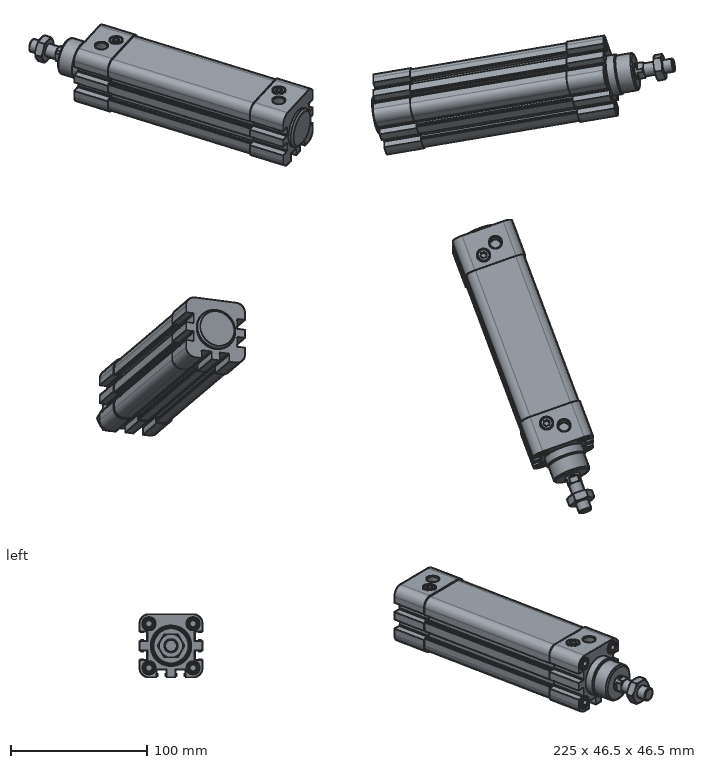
import cadquery as cq

TOTAL_LENGTH = 225.0
NUT_START = 7.5
NUT_THICKNESS = 6.0
THREAD_END = 22.0
FLATS_END = 27.5
COLLAR_START = 28.5
PILOT_START = 40.7
CAP_START = 47.7
CAP_LENGTH = 28.0
REAR_BOSS_LENGTH = 3.4

REAR_CAP_END = TOTAL_LENGTH - REAR_BOSS_LENGTH
REAR_CAP_START = REAR_CAP_END - CAP_LENGTH
BARREL_START = CAP_START + CAP_LENGTH
CAPS_MIDDLE = (CAP_START + REAR_CAP_END) / 2

THREAD_DIAMETER = 10.0
THREAD_CHAMFER = 0.7
ROD_DIAMETER = 12.0
FLATS_WIDTH = 10.0
FLATS_CHAMFER = 0.7
FLATS_RUNOUT = 1.0
NUT_WIDTH = 17.0
NUT_CORNER_CHAMFER_DIAMETER = 17.5
HEX_CORNER_RATIO = 2 / 3 ** 0.5

COLLAR_DIAMETER = 28.0
COLLAR_CHAMFER = 1.1
PILOT_DIAMETER = 30.0
PILOT_CONE_LENGTH = 1.0
REAR_BOSS_CHAMFER = 1.5

CAP_SIZE = 46.5
CAP_CORNER_RADIUS = 7.2
BARREL_SIZE = 45.0
BARREL_CORNER_RADIUS = 6.8

CAP_SLOT_FLOOR = 17.0
BARREL_SLOT_FLOOR = 17.8
CAP_SLOT_EDGES = (3.2, 10.8)
CAP_SLOT_FLOOR_CHAMFER = 0.7
BARREL_SLOT_EDGES = (3.5, 10.4)
BARREL_MOUTH_EDGES = (4.3, 10.0)
LIP_HEIGHT = 2.0
LIP_CHAMFER = 0.7
SLOT_SIDE_ANGLES = (90, 180, 270)

SCREW_SPACING = 32.5
SCREW_HOLE_DIAMETER = 10.0
SCREW_HEAD_DIAMETER = 8.3
SCREW_GAP_DEPTH = 0.7
SCREW_SOCKET_CORNERS = 6.8
SCREW_SOCKET_DEPTH = 3.4
SCREW_BORE_DIAMETER = 5.0
SCREW_BORE_DEPTH = 4.5

PORT_OFFSET_X = 73.8
PORT_Y = -5.5
PORT_DIAMETER = 8.5
PORT_MOUTH_DIAMETER = 10.0
PORT_DEPTH = 9.0

CUSHION_OFFSET_X = 67.7
CUSHION_Y = 6.0
CUSHION_HOLE_DIAMETER = 10.0
CUSHION_HEAD_DIAMETER = 8.3
CUSHION_SOCKET_CORNERS = 5.0
CUSHION_SOCKET_DEPTH = 3.4


def cylinder_x(start, length, diameter):
    """Round bar on the X axis."""
    return cq.Workplane("YZ").workplane(offset=start).circle(diameter / 2).extrude(length)


def revolve_x(profile):
    """Turn a closed (x, radius) profile about the X axis."""
    return cq.Workplane("XY").polyline(profile).close().revolve(360, (0, 0, 0), (1, 0, 0))


def square_bar(start, length, size, corner_radius):
    bar = cq.Workplane("YZ").workplane(offset=start).rect(size, size).extrude(length)
    return bar.edges("|X").fillet(corner_radius)


def cut_slots(bar, start, length, slot_half_outline):
    """Cut a slot and its mirror image into both sides and the underside."""
    slot = cq.Workplane("YZ").workplane(offset=start).polyline(slot_half_outline).close().extrude(length)
    slots = slot.union(slot.mirror("XZ"))
    for angle in SLOT_SIDE_ANGLES:
        bar = bar.cut(slots.rotate((0, 0, 0), (1, 0, 0), angle))
    return bar


def make_cap(start):
    """End cap with slots whose floor corners are chamfered."""
    cap = square_bar(start, CAP_LENGTH, CAP_SIZE, CAP_CORNER_RADIUS)
    inner, outer = CAP_SLOT_EDGES
    chamfer = CAP_SLOT_FLOOR_CHAMFER
    mouth = CAP_SIZE / 2
    outline = [
        (inner, mouth),
        (inner, CAP_SLOT_FLOOR + chamfer),
        (inner + chamfer, CAP_SLOT_FLOOR),
        (outer - chamfer, CAP_SLOT_FLOOR),
        (outer, CAP_SLOT_FLOOR + chamfer),
        (outer, mouth),
    ]
    return cut_slots(cap, start, CAP_LENGTH, outline)


def make_barrel():
    """Extruded tube profile whose slots are narrowed by a lip at the mouth."""
    length = REAR_CAP_START - BARREL_START
    barrel = square_bar(BARREL_START, length, BARREL_SIZE, BARREL_CORNER_RADIUS)
    slot_inner, slot_outer = BARREL_SLOT_EDGES
    mouth_inner, mouth_outer = BARREL_MOUTH_EDGES
    mouth = BARREL_SIZE / 2
    lip = mouth - LIP_HEIGHT
    outline = [
        (slot_inner, BARREL_SLOT_FLOOR),
        (slot_outer, BARREL_SLOT_FLOOR),
        (slot_outer, lip),
        (mouth_outer, lip),
        (mouth_outer, mouth),
        (mouth_inner - LIP_CHAMFER, mouth),
        (mouth_inner, mouth - LIP_CHAMFER),
        (mouth_inner, lip),
        (slot_inner, lip),
    ]
    return cut_slots(barrel, BARREL_START, length, outline)


def make_front_collar():
    """Bearing collar that steps up to the centring pilot."""
    collar_radius = COLLAR_DIAMETER / 2
    pilot_radius = PILOT_DIAMETER / 2
    return revolve_x([
        (COLLAR_START, 0),
        (COLLAR_START, collar_radius - COLLAR_CHAMFER),
        (COLLAR_START + COLLAR_CHAMFER, collar_radius),
        (PILOT_START, collar_radius),
        (PILOT_START + PILOT_CONE_LENGTH, pilot_radius),
        (CAP_START, pilot_radius),
        (CAP_START, 0),
    ])


def make_rear_boss():
    boss = cylinder_x(REAR_CAP_END, REAR_BOSS_LENGTH, PILOT_DIAMETER)
    return boss.faces(">X").chamfer(REAR_BOSS_CHAMFER)


def hole_tool(diameter, depth, mouth_diameter):
    """Round hole sunk from Z = 0 with a 45 degree chamfered mouth."""
    radius = diameter / 2
    mouth_radius = mouth_diameter / 2
    return cq.Workplane("XZ").polyline([
        (0, 0),
        (mouth_radius, 0),
        (radius, radius - mouth_radius),
        (radius, -depth),
        (0, -depth),
    ]).close().revolve(360, (0, 0, 0), (0, 1, 0))


def cut_corner_screws(housing):
    """Flush screw heads in the corners of the front face: gap ring, hexagon socket and pilot bore."""
    face = cq.Workplane("YZ")
    ring = face.circle(SCREW_HOLE_DIAMETER / 2).circle(SCREW_HEAD_DIAMETER / 2).extrude(SCREW_GAP_DEPTH)
    socket = face.polygon(6, SCREW_SOCKET_CORNERS).extrude(SCREW_SOCKET_DEPTH)
    bore = face.circle(SCREW_BORE_DIAMETER / 2).extrude(SCREW_BORE_DEPTH)
    screw = ring.union(socket).union(bore)
    offset = SCREW_SPACING / 2
    for y in (-offset, offset):
        for z in (-offset, offset):
            housing = housing.cut(screw.translate((CAP_START, y, z)))
    return housing


def cushion_screw_tool():
    """Gap around a bevelled screw head, and its hexagon socket."""
    hole_radius = CUSHION_HOLE_DIAMETER / 2
    head_radius = CUSHION_HEAD_DIAMETER / 2
    gap = cq.Workplane("XZ").polyline([
        (head_radius, 0),
        (hole_radius, 0),
        (hole_radius, head_radius - hole_radius),
    ]).close().revolve(360, (0, 0, 0), (0, 1, 0))
    socket = cq.Workplane("XY").polygon(6, CUSHION_SOCKET_CORNERS).extrude(-CUSHION_SOCKET_DEPTH)
    return gap.union(socket.rotate((0, 0, 0), (0, 0, 1), 90))


def cut_top_features(housing):
    """Air port and cushioning screw in each cap, mirrored end to end."""
    top = CAP_SIZE / 2
    port = hole_tool(PORT_DIAMETER, PORT_DEPTH, PORT_MOUTH_DIAMETER)
    screw = cushion_screw_tool()
    for side in (-1, 1):
        housing = housing.cut(port.translate((CAPS_MIDDLE + side * PORT_OFFSET_X, PORT_Y, top)))
        housing = housing.cut(screw.translate((CAPS_MIDDLE + side * CUSHION_OFFSET_X, CUSHION_Y, top)))
    return housing


def make_housing():
    housing = make_barrel().union(make_cap(CAP_START)).union(make_cap(REAR_CAP_START))
    housing = housing.union(make_front_collar()).union(make_rear_boss())
    housing = cut_corner_screws(housing)
    return cut_top_features(housing)


def make_nut():
    """Hexagon nut with chamfered corners, flats facing up and down."""
    corner_diameter = NUT_WIDTH * HEX_CORNER_RATIO
    hexagon = cq.Workplane("YZ").workplane(offset=NUT_START).polygon(6, corner_diameter).extrude(NUT_THICKNESS)
    corner_chamfer = (corner_diameter - NUT_CORNER_CHAMFER_DIAMETER) / 2
    envelope = cylinder_x(NUT_START, NUT_THICKNESS, corner_diameter)
    envelope = envelope.faces("<X or >X").chamfer(corner_chamfer / 2, corner_chamfer)
    return hexagon.intersect(envelope)


def make_wrench_section():
    """Full-diameter rod end with four wrench flats."""
    rod = cylinder_x(THREAD_END, COLLAR_START - THREAD_END, ROD_DIAMETER)
    rod = rod.faces("<X").chamfer(FLATS_CHAMFER)
    flat = FLATS_WIDTH / 2
    cutter = cq.Workplane("XZ").polyline([
        (THREAD_END, flat),
        (FLATS_END - FLATS_RUNOUT, flat),
        (FLATS_END, ROD_DIAMETER / 2),
        (FLATS_END, ROD_DIAMETER),
        (THREAD_END, ROD_DIAMETER),
    ]).close().extrude(ROD_DIAMETER, both=True)
    for angle in (0, 90, 180, 270):
        rod = rod.cut(cutter.rotate((0, 0, 0), (1, 0, 0), angle))
    return rod


def make_piston_rod():
    thread = cylinder_x(0, THREAD_END, THREAD_DIAMETER).faces("<X").chamfer(THREAD_CHAMFER)
    return thread.union(make_nut()).union(make_wrench_section())


housing = make_housing()
piston_rod = make_piston_rod()
result = cq.Compound.makeCompound([housing.val(), piston_rod.val()])